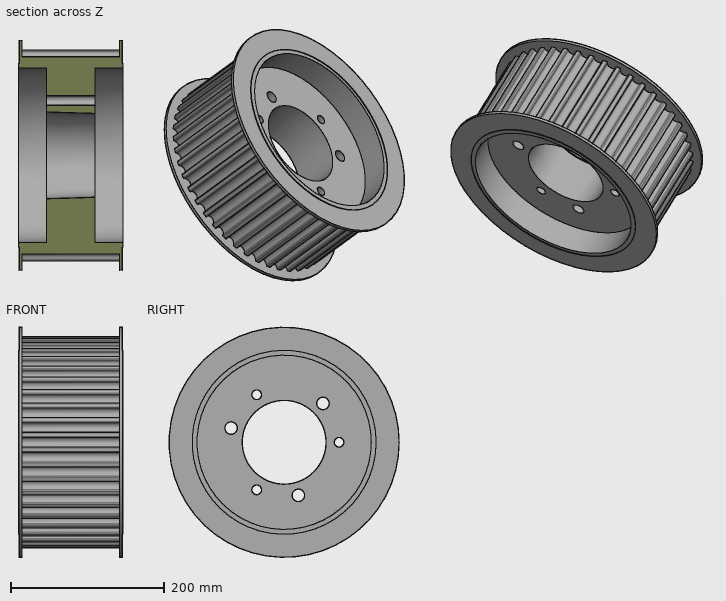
import cadquery as cq
import math

overall_width = 136.5
lip_height = 1.0
lip_diameter = 239.7

flange_diameter = 300.0
flange_thickness = 4.0

tooth_count = 44
rim_diameter = 275.7
groove_radius = 6.3
groove_depth = 9.3
groove_mouth_radius = 1.35

recess_diameter = 227.0
recess_depth = 36.5

bore_entry_diameter = 112.8
bore_exit_diameter = 109.0

bolt_circle_diameter = 143.0
holes_per_ring = 3
small_hole_diameter = 12.3
small_hole_start_angle = 0
large_hole_diameter = 16.0
large_hole_start_angle = 45

end_x = overall_width / 2
flange_outer_x = end_x - lip_height
flange_inner_x = flange_outer_x - flange_thickness
web_face_x = end_x - recess_depth


def cylinder(diameter, x_start, x_end):
    """Solid disc on the X axis between two X positions."""
    return cq.Workplane("YZ", origin=(x_start, 0, 0)).circle(diameter / 2).extrude(x_end - x_start)


def groove_cutter():
    """Belt groove at +Y: round floor, straight flanks and rounded mouth edges."""
    rim_radius = rim_diameter / 2
    floor_y = rim_radius - groove_depth
    floor_center_y = floor_y + groove_radius

    mouth_center_distance = rim_radius - groove_mouth_radius
    mouth_center_z = groove_radius + groove_mouth_radius
    mouth_angle = math.asin(mouth_center_z / mouth_center_distance)
    mouth_center_y = mouth_center_distance * math.cos(mouth_angle)
    rim_y = rim_radius * math.cos(mouth_angle)
    rim_z = rim_radius * math.sin(mouth_angle)

    middle_angle = (mouth_angle - math.pi / 2) / 2
    middle_y = mouth_center_y + groove_mouth_radius * math.cos(middle_angle)
    middle_z = mouth_center_z + groove_mouth_radius * math.sin(middle_angle)

    clear_y = rim_radius + groove_mouth_radius
    return (
        cq.Workplane("YZ", origin=(-flange_inner_x, 0, 0))
        .moveTo(rim_y, -rim_z)
        .threePointArc((middle_y, -middle_z), (mouth_center_y, -groove_radius))
        .lineTo(floor_center_y, -groove_radius)
        .threePointArc((floor_y, 0), (floor_center_y, groove_radius))
        .lineTo(mouth_center_y, groove_radius)
        .threePointArc((middle_y, middle_z), (rim_y, rim_z))
        .lineTo(clear_y, rim_z)
        .lineTo(clear_y, -rim_z)
        .close()
        .extrude(2 * flange_inner_x)
    )


def toothed_rim():
    """Solid drum with the belt grooves cut around it."""
    rim = cylinder(rim_diameter, -flange_inner_x, flange_inner_x)
    cutter = groove_cutter()
    for index in range(tooth_count):
        angle = index * 360 / tooth_count
        rim = rim.cut(cutter.rotate((0, 0, 0), (1, 0, 0), angle))
    return rim


def tapered_bore():
    """Cone through the web, narrowing towards +X."""
    return (
        cq.Workplane("XY")
        .moveTo(-web_face_x, 0)
        .lineTo(-web_face_x, bore_entry_diameter / 2)
        .lineTo(web_face_x, bore_exit_diameter / 2)
        .lineTo(web_face_x, 0)
        .close()
        .revolve(360, (0, 0, 0), (1, 0, 0))
    )


def hole_ring(diameter, start_angle):
    """Evenly spaced holes on the bolt circle, through the web."""
    return (
        cq.Workplane("YZ", origin=(-web_face_x, 0, 0))
        .polarArray(bolt_circle_diameter / 2, start_angle, 360, holes_per_ring)
        .circle(diameter / 2)
        .extrude(2 * web_face_x)
    )


pulley = toothed_rim()

pulley = pulley.union(cylinder(flange_diameter, -flange_outer_x, -flange_inner_x))
pulley = pulley.union(cylinder(flange_diameter, flange_inner_x, flange_outer_x))
pulley = pulley.union(cylinder(lip_diameter, -end_x, end_x))

pulley = pulley.cut(cylinder(recess_diameter, -end_x, -web_face_x))
pulley = pulley.cut(cylinder(recess_diameter, web_face_x, end_x))

pulley = pulley.cut(tapered_bore())
pulley = pulley.cut(hole_ring(small_hole_diameter, small_hole_start_angle))
pulley = pulley.cut(hole_ring(large_hole_diameter, large_hole_start_angle))

result = pulley